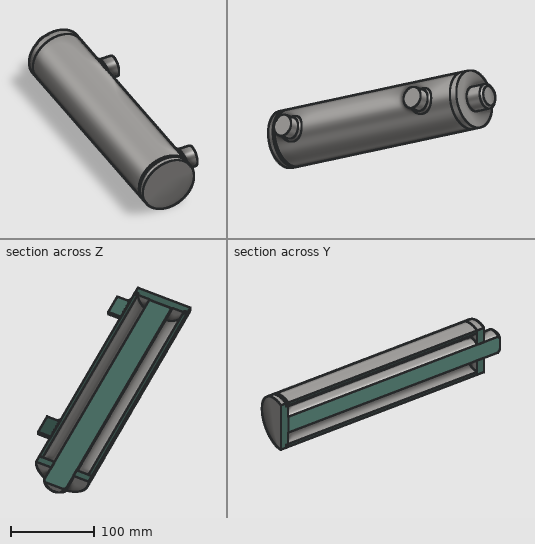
import cadquery as cq

overall_length = 310.0
barrel_diameter = 70.0
bore_diameter = 60.0
rod_diameter = 30.0
rod_chamfer = 3.0
rod_protrusion = 23.0
head_thickness = 10.0
cap_thickness = 7.0
seam_width = 3.0
port_diameter = 26.0
port_height = 51.8
port_positions = [77.2, 274.7]
port_weld_leg = 3.0

head_start = rod_protrusion
tube_start = head_start + head_thickness
cap_start = overall_length - cap_thickness
seam_start = cap_start - seam_width


def disc(diameter, start, end):
    """Solid round bar along X between two places."""
    plane = cq.Plane(origin=(start, 0, 0), xDir=(0, -1, 0), normal=(1, 0, 0))
    return cq.Workplane(plane).circle(diameter / 2).extrude(end - start)


def radial_bar(position):
    """Round bar from the cylinder axis out to the port face, along +Y."""
    plane = cq.Plane(origin=(position, 0, 0), xDir=(1, 0, 0), normal=(0, 1, 0))
    return cq.Workplane(plane).circle(port_diameter / 2).extrude(port_height)


def make_rod():
    """Rod running from its chamfered tip to the cap's spigot."""
    return disc(rod_diameter, 0, seam_start).faces("<X").chamfer(rod_chamfer)


def make_head():
    """Front plate that the rod passes through."""
    return disc(barrel_diameter, head_start, tube_start).cut(disc(rod_diameter, head_start, tube_start))


def make_tube():
    """Hollow barrel between the head and the seam weld."""
    return disc(barrel_diameter, tube_start, seam_start).cut(disc(bore_diameter, tube_start, seam_start))


def make_seam_weld():
    """Weld ring that joins the barrel to the end cap."""
    return disc(barrel_diameter, seam_start, cap_start).cut(disc(bore_diameter, seam_start, cap_start))


def make_cap():
    """End cap with a spigot that fills the weld ring."""
    plate = disc(barrel_diameter, cap_start, overall_length)
    return plate.union(disc(bore_diameter, seam_start, cap_start))


def make_port(position):
    """Port stub with a saddle-shaped foot resting on the barrel."""
    return radial_bar(position).cut(disc(barrel_diameter, tube_start, seam_start))


def make_port_weld(position):
    """Sloped weld bead around the foot of a port."""
    barrel = disc(barrel_diameter, tube_start, seam_start)
    stub = radial_bar(position)
    joined = barrel.union(stub)
    joint_box = cq.selectors.BoxSelector(
        (position - port_diameter, 0, -port_diameter),
        (position + port_diameter, port_height - port_weld_leg, port_diameter),
    )
    welded = joined.edges(joint_box).chamfer(port_weld_leg)
    return welded.cut(barrel).cut(stub)


rod = make_rod()
head = make_head()
tube = make_tube()
seam_weld = make_seam_weld()
cap = make_cap()
ports = [make_port(position).solids().val() for position in port_positions]
port_welds = [make_port_weld(position).solids().val() for position in port_positions]

result = cq.Compound.makeCompound([
    rod.solids().val(),
    head.solids().val(),
    tube.solids().val(),
    seam_weld.solids().val(),
    cap.solids().val(),
    *ports,
    *port_welds,
])